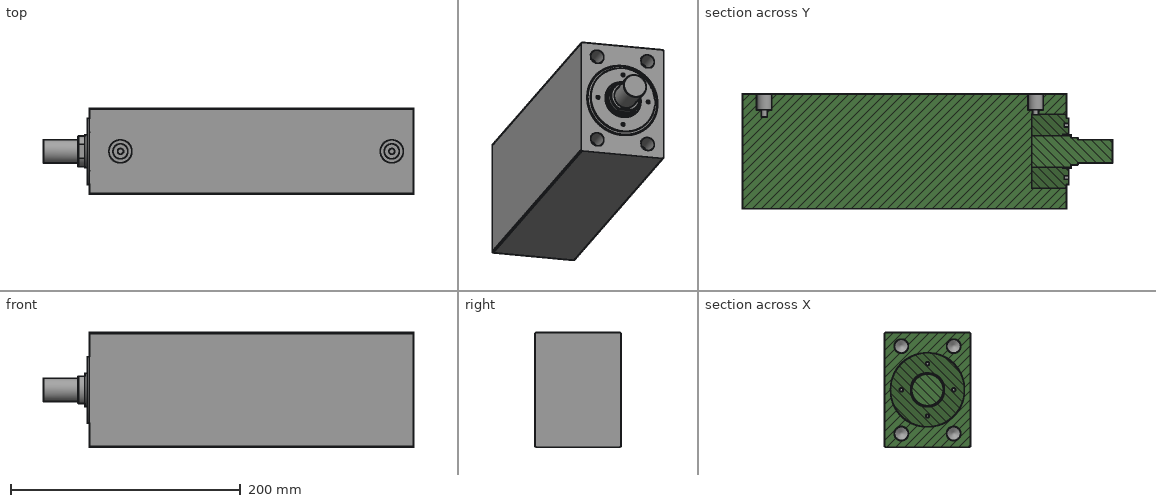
import math

import cadquery as cq


housing_length = 282.0
housing_width = 75.0
housing_height = 100.0
edge_chamfer = 1.0

mount_spacing_y = 45.5
mount_spacing_z = 76.0
mount_diameter = 12.0
mount_depth = 24.0
drill_point_angle = 118.0

port_front_x = 27.0
port_spacing = 236.0
port_spotface_diameter = 20.0
port_spotface_depth = 0.2
port_diameter = 13.0
port_depth = 14.0
port_passage_diameter = 5.0
port_passage_depth = 6.0

gland_diameter = 64.0
gland_depth = 30.0
gland_chamfer = 0.75
pilot_diameter = 58.0
pilot_height = 2.0
pin_hole_diameter = 3.0
pin_hole_depth = 4.0
pin_circle_diameter = 45.5
pin_hole_count = 4
mouth_diameter = 32.5

wiper_diameter = 29.0
wiper_depth = 5.0
wiper_lip_height = 2.0

rod_diameter = 27.0
rod_bevel = 0.75
rod_bevel_angle = 45.0
rod_flat_width = 24.0
rod_shoulder_extension = 10.0
stud_diameter = 20.5
stud_length = 30.0
stud_chamfer = 0.3

pilot_face_x = -pilot_height
wiper_seat_x = pilot_face_x + wiper_depth
wiper_lip_x = pilot_face_x - wiper_lip_height
rod_shoulder_x = -rod_shoulder_extension
rod_tip_x = rod_shoulder_x - stud_length


def cylinder_x(diameter, start_x, end_x):
    """Cylinder on the X axis between two X positions."""
    plane = cq.Workplane("YZ", origin=(start_x, 0, 0))
    return plane.circle(diameter / 2).extrude(end_x - start_x)


def mounting_holes():
    """Drilled blind holes with conical bottoms, one near each corner of the front face."""
    radius = mount_diameter / 2
    point_length = radius / math.tan(math.radians(drill_point_angle / 2))
    profile = [(0, 0), (0, radius), (mount_depth, radius), (mount_depth + point_length, 0)]
    drill = cq.Workplane("XY").polyline(profile).close().revolve(360, (0, 0, 0), (1, 0, 0))
    holes = cq.Workplane("XY")
    for side_y in (-1, 1):
        for side_z in (-1, 1):
            centre = (0, side_y * mount_spacing_y / 2, side_z * mount_spacing_z / 2)
            holes = holes.add(drill.translate(centre))
    return holes.combine()


def port_cut(x):
    """Stepped port hole going down from the top face."""
    top = cq.Workplane("XY", origin=(x, 0, housing_height / 2))
    spotface = top.circle(port_spotface_diameter / 2).extrude(-port_spotface_depth)
    bore = top.circle(port_diameter / 2).extrude(-port_depth)
    passage = top.circle(port_passage_diameter / 2).extrude(-port_depth - port_passage_depth)
    return spotface.union(bore).union(passage)


def make_housing():
    """Rectangular block with the gland recess, mounting holes and oil ports."""
    block = cq.Workplane("XY").box(
        housing_length, housing_width, housing_height, centered=(False, True, True)
    )
    block = block.edges("|X").chamfer(edge_chamfer)
    block = block.cut(cylinder_x(gland_diameter, 0, gland_depth))
    block = block.cut(mounting_holes())
    for x in (port_front_x, port_front_x + port_spacing):
        block = block.cut(port_cut(x))
    return block


def make_gland():
    """Gland sleeve with a raised pilot, a chamfered mouth for the wiper and a ring of pin holes."""
    body = cylinder_x(gland_diameter, 0, gland_depth).faces("<X").edges().chamfer(gland_chamfer)
    body = body.union(cylinder_x(pilot_diameter, pilot_face_x, gland_depth))
    body = body.cut(cylinder_x(rod_diameter, pilot_face_x, gland_depth))
    body = body.cut(cylinder_x(wiper_diameter, pilot_face_x, wiper_seat_x))
    mouth_edge = body.faces("<X").edges(cq.selectors.RadiusNthSelector(0))
    body = mouth_edge.chamfer((mouth_diameter - wiper_diameter) / 2)
    pin_holes = (
        cq.Workplane("YZ", origin=(pilot_face_x, 0, 0))
        .polarArray(pin_circle_diameter / 2, 0, 360, pin_hole_count)
        .circle(pin_hole_diameter / 2)
        .extrude(pin_hole_depth)
    )
    return body.cut(pin_holes)


def make_wiper():
    """Wiper ring seated in the gland, with a lip that stands out around the rod."""
    ring = cylinder_x(wiper_diameter, wiper_lip_x, wiper_seat_x)
    return ring.cut(cylinder_x(rod_diameter, wiper_lip_x, wiper_seat_x))


def collar_outline(start_x):
    """Rod circle with a flat above and below the axis, drawn square to X."""
    chord = math.sqrt(rod_diameter**2 - rod_flat_width**2)
    return (
        cq.Workplane("YZ", origin=(start_x, 0, 0))
        .moveTo(chord / 2, rod_flat_width / 2)
        .lineTo(-chord / 2, rod_flat_width / 2)
        .threePointArc((-rod_diameter / 2, 0), (-chord / 2, -rod_flat_width / 2))
        .lineTo(chord / 2, -rod_flat_width / 2)
        .threePointArc((rod_diameter / 2, 0), (chord / 2, rod_flat_width / 2))
        .close()
    )


def make_rod():
    """Rod with a flatted collar in front of the wiper and a stud on the end."""
    shank = cylinder_x(rod_diameter, wiper_lip_x, gland_depth)
    bevel_x = rod_shoulder_x + rod_bevel
    collar = collar_outline(bevel_x).extrude(wiper_lip_x - bevel_x)
    bevel = collar_outline(bevel_x).extrude(-rod_bevel, taper=rod_bevel_angle)
    stud = cylinder_x(stud_diameter, rod_tip_x, rod_shoulder_x)
    stud = stud.faces("<X").edges().chamfer(stud_chamfer)
    return shank.union(collar).union(bevel).union(stud)


housing = make_housing()
gland = make_gland()
wiper = make_wiper()
rod = make_rod()

result = cq.Compound.makeCompound(
    [
        housing.solids().val(),
        gland.solids().val(),
        wiper.solids().val(),
        rod.solids().val(),
    ]
)